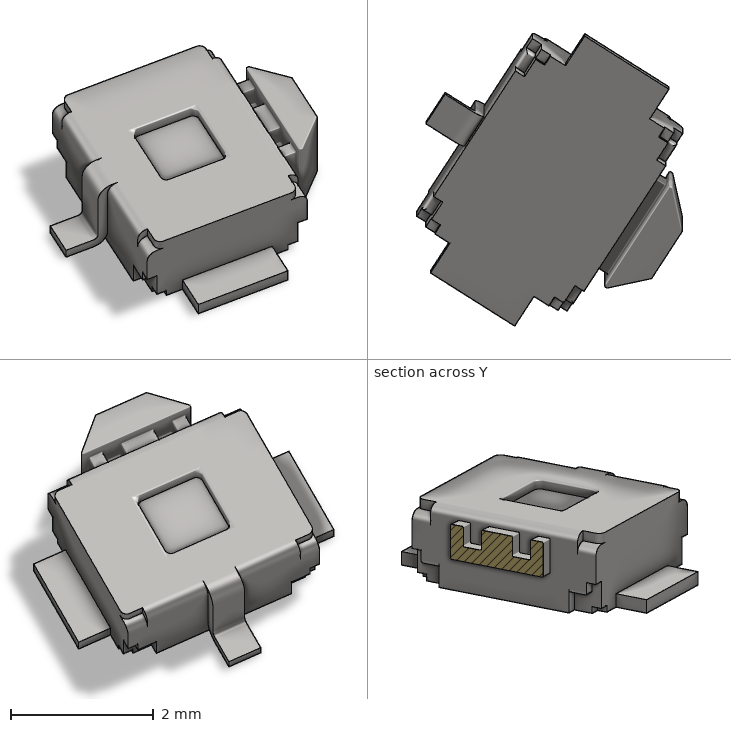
import cadquery as cq


HEIGHT = 1.2
HOUSING_HALF_X = 1.5
HOUSING_HALF_Y = 1.25
LEAD_END_Y = -1.9
CAP_END_Y = 1.95

SHEET = 0.15
FLOOR_Z = HEIGHT - SHEET
CORE_HALF_Y = HOUSING_HALF_Y - SHEET
LID_CORNER_RADIUS = 0.1
COVER_HALF_X = 1.2
SKIRT_HALF_X = 1.35
SKIRT_BOTTOM_Z = 0.3
SKIRT_EDGE_RADIUS = 0.05

WING_BOTTOM_Z = 0.5
FOOT_NOTCH = 0.15
FOOT_NOTCH_HEIGHT = 0.1
BLOCK_HALF_X = 1.06
BLOCK_HEIGHT = 0.59

WINDOW_HALF = 0.5
WINDOW_EDGE_RADIUS = 0.04
WINDOW_CORNER_RADIUS = 0.1

TAB_END_X = 2.0
TAB_HALF_Y = 0.7
TAB_THICKNESS = 0.2

LEAD_HALF_X = 0.25
BEND_INNER_RADIUS = 0.075
BEND_OUTER_RADIUS = BEND_INNER_RADIUS + SHEET

CAP_BACK_Y = 1.45
CAP_RIM = 0.05
CAP_HALF_X = 0.85
CAP_TIP_HALF_X = 0.4
CAP_EDGE_RADIUS = 0.02
STEM_HALF_X = 0.755
STEM_BOTTOM_Z = 0.53
STEM_TOP_Z = FLOOR_Z
STEM_WEB_TOP_Z = 0.75
STEM_EDGE_RADIUS = 0.02
STEM_ROOT_RADIUS = 0.018
STEM_INNER_Y = 0.02
PRONG_INNER_X = 0.545
TONGUE_HALF_X = 0.255

SELECT_MARGIN = 0.01


def box(x0, x1, y0, y1, z0, z1):
    """Axis-aligned box between two opposite corners, given in either order."""
    size = (abs(x1 - x0), abs(y1 - y0), abs(z1 - z0))
    low_corner = (min(x0, x1), min(y0, y1), min(z0, z1))
    return cq.Workplane("XY").box(*size, centered=False).translate(low_corner)


def centred_box(half_x, half_y, z0, z1):
    """Box symmetric about the YZ and XZ planes."""
    return box(-half_x, half_x, -half_y, half_y, z0, z1)


def make_housing():
    """Moulded core with rounded corner wings and a notch under each corner."""
    housing = centred_box(HOUSING_HALF_X, CORE_HALF_Y, 0, FLOOR_Z)
    for side in (-1, 1):
        wing = box(
            side * COVER_HALF_X, side * HOUSING_HALF_X,
            -HOUSING_HALF_Y, HOUSING_HALF_Y,
            WING_BOTTOM_Z, FLOOR_Z,
        )
        housing = housing.union(wing.edges("|X and >Z").fillet(SHEET))
    for side_x in (-1, 1):
        for side_y in (-1, 1):
            notch = box(
                side_x * (HOUSING_HALF_X - FOOT_NOTCH), side_x * HOUSING_HALF_X,
                side_y * (CORE_HALF_Y - FOOT_NOTCH), side_y * CORE_HALF_Y,
                0, FOOT_NOTCH_HEIGHT,
            )
            housing = housing.cut(notch)
    return housing


def make_cover():
    """Lid plate folded down over both long sides, with a wider skirt at the bottom."""
    lid = centred_box(HOUSING_HALF_X, CORE_HALF_Y, FLOOR_Z, HEIGHT)
    lid = lid.edges("|Z").fillet(LID_CORNER_RADIUS)
    fold = centred_box(COVER_HALF_X, HOUSING_HALF_Y, SKIRT_BOTTOM_Z, HEIGHT)
    fold = fold.edges("|X and >Z").fillet(SHEET)
    skirt = centred_box(SKIRT_HALF_X, HOUSING_HALF_Y, SKIRT_BOTTOM_Z, WING_BOTTOM_Z)
    folded_sides = fold.union(skirt).edges("<Z").fillet(SKIRT_EDGE_RADIUS)
    return cut_window(lid.union(folded_sides))


def cut_window(cover):
    """Square window in the lid, with a rounded rim and then rounded corners."""
    window = centred_box(WINDOW_HALF, WINDOW_HALF, FLOOR_Z, HEIGHT)
    cover = cover.cut(window)
    reach = WINDOW_HALF + SELECT_MARGIN
    around_window = cq.selectors.BoxSelector(
        (-reach, -reach, FLOOR_Z), (reach, reach, HEIGHT + SELECT_MARGIN)
    )
    cover = cover.faces(">Z").edges(around_window).fillet(WINDOW_EDGE_RADIUS)
    return cover.edges(around_window).edges("|Z").fillet(WINDOW_CORNER_RADIUS)


def make_lead():
    """Lead folded from the lid, down the front side and out along the mounting plane."""
    outer_y = -HOUSING_HALF_Y - SHEET
    profile = (
        cq.Workplane("YZ")
        .moveTo(-CORE_HALF_Y, HEIGHT)
        .lineTo(outer_y + BEND_OUTER_RADIUS, HEIGHT)
        .radiusArc((outer_y, HEIGHT - BEND_OUTER_RADIUS), -BEND_OUTER_RADIUS)
        .lineTo(outer_y, BEND_OUTER_RADIUS)
        .radiusArc((outer_y - BEND_INNER_RADIUS, SHEET), BEND_INNER_RADIUS)
        .lineTo(LEAD_END_Y, SHEET)
        .lineTo(LEAD_END_Y, 0)
        .lineTo(outer_y - BEND_INNER_RADIUS, 0)
        .radiusArc((-HOUSING_HALF_Y, BEND_OUTER_RADIUS), -BEND_OUTER_RADIUS)
        .lineTo(-HOUSING_HALF_Y, FLOOR_Z - BEND_INNER_RADIUS)
        .lineTo(-CORE_HALF_Y, FLOOR_Z - BEND_INNER_RADIUS)
        .close()
    )
    return profile.extrude(LEAD_HALF_X, both=True)


def make_cap():
    """Tapered push-button cap."""
    cap = (
        cq.Workplane("XY")
        .moveTo(-CAP_HALF_X, CAP_BACK_Y)
        .lineTo(CAP_HALF_X, CAP_BACK_Y)
        .lineTo(CAP_HALF_X, CAP_BACK_Y + CAP_RIM)
        .lineTo(CAP_TIP_HALF_X, CAP_END_Y)
        .lineTo(-CAP_TIP_HALF_X, CAP_END_Y)
        .lineTo(-CAP_HALF_X, CAP_BACK_Y + CAP_RIM)
        .close()
        .extrude(HEIGHT)
    )
    return cap.edges().fillet(CAP_EDGE_RADIUS)


def make_stem():
    """Comb-shaped stem: a web carrying two prongs and a long central tongue."""
    stem = box(
        -STEM_HALF_X, STEM_HALF_X, CORE_HALF_Y, CAP_BACK_Y, STEM_BOTTOM_Z, STEM_WEB_TOP_Z
    )
    for x0, x1 in (
        (-STEM_HALF_X, -PRONG_INNER_X),
        (-TONGUE_HALF_X, TONGUE_HALF_X),
        (PRONG_INNER_X, STEM_HALF_X),
    ):
        stem = stem.union(box(x0, x1, CORE_HALF_Y, CAP_BACK_Y, STEM_BOTTOM_Z, STEM_TOP_Z))
    stem = stem.edges("|Y").fillet(STEM_EDGE_RADIUS)
    tongue_half_x = TONGUE_HALF_X - STEM_EDGE_RADIUS
    tongue = box(
        -tongue_half_x, tongue_half_x, STEM_INNER_Y, CAP_BACK_Y, STEM_BOTTOM_Z, STEM_TOP_Z
    )
    return stem.union(tongue)


def make_button():
    """Cap and stem joined with a small fillet at the root."""
    reach = STEM_HALF_X + SELECT_MARGIN
    root_edges = cq.selectors.BoxSelector(
        (-reach, CAP_BACK_Y - SELECT_MARGIN, STEM_BOTTOM_Z - SELECT_MARGIN),
        (reach, CAP_BACK_Y + SELECT_MARGIN, STEM_TOP_Z + SELECT_MARGIN),
    )
    return make_cap().union(make_stem()).edges(root_edges).fillet(STEM_ROOT_RADIUS)


blocks = centred_box(BLOCK_HALF_X, HOUSING_HALF_Y, 0, BLOCK_HEIGHT)
tabs = centred_box(TAB_END_X, TAB_HALF_Y, 0, TAB_THICKNESS)
cover_with_lead = make_cover().cut(blocks).union(make_lead())

result = make_housing()
for piece in (blocks, cover_with_lead, tabs, make_button()):
    result = result.union(piece, clean=False)